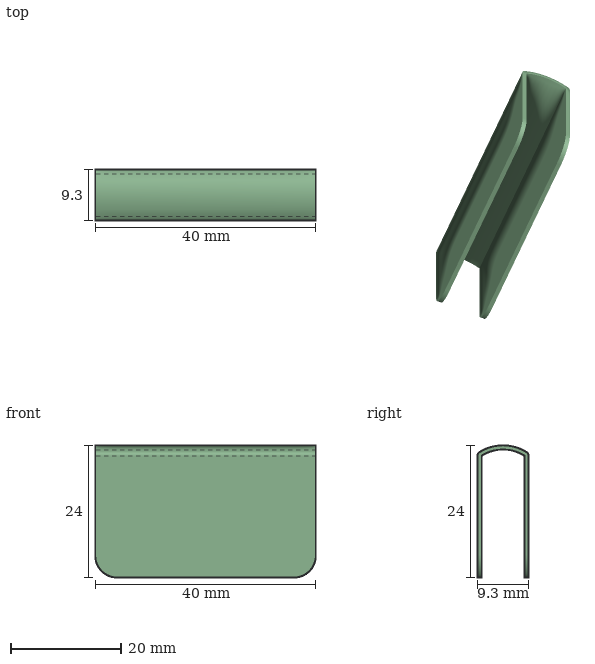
import cadquery as cq
import math

length = 40.0
width = 9.3
height = 24.0
wall = 0.8
crown_radius = 8.0
leg_corner_radius = 4.0

half_width = width / 2
inner_half_width = half_width - wall
inner_crown_radius = crown_radius - wall
crown_center_z = height - crown_radius

corner_z = crown_center_z + math.sqrt(inner_crown_radius**2 - inner_half_width**2)
bend_end_y = inner_half_width * crown_radius / inner_crown_radius
bend_end_z = crown_center_z + (corner_z - crown_center_z) * crown_radius / inner_crown_radius


def bend_middle():
    """Point halfway round the outer bend on the +Y side."""
    crown_end_angle = math.acos(inner_half_width / inner_crown_radius)
    middle_angle = crown_end_angle / 2
    return (
        inner_half_width + wall * math.cos(middle_angle),
        corner_z + wall * math.sin(middle_angle),
    )


def make_channel():
    """Arched U-section in the YZ plane, extruded along X and centred on it."""
    bend_y, bend_z = bend_middle()
    return (
        cq.Workplane("YZ")
        .moveTo(-half_width, 0)
        .lineTo(-half_width, corner_z)
        .threePointArc((-bend_y, bend_z), (-bend_end_y, bend_end_z))
        .threePointArc((0, height), (bend_end_y, bend_end_z))
        .threePointArc((bend_y, bend_z), (half_width, corner_z))
        .lineTo(half_width, 0)
        .lineTo(inner_half_width, 0)
        .lineTo(inner_half_width, corner_z)
        .threePointArc((0, height - wall), (-inner_half_width, corner_z))
        .lineTo(-inner_half_width, 0)
        .close()
        .extrude(length / 2, both=True)
    )


def round_leg_corners(channel):
    """Round the two lower corners of each leg."""
    return channel.faces("<Z").edges("|Y").fillet(leg_corner_radius)


result = round_leg_corners(make_channel())